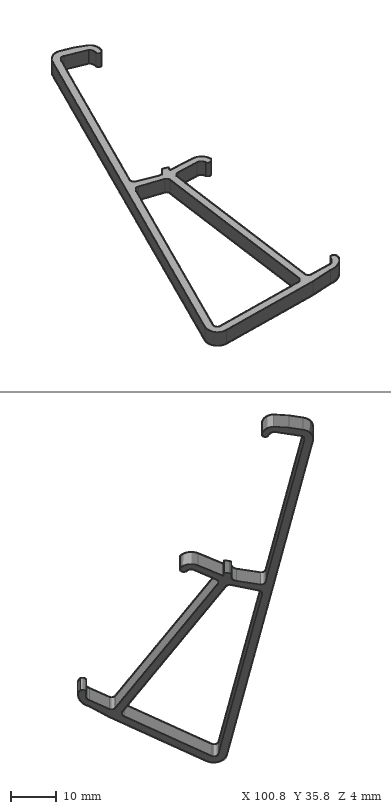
import cadquery as cq
import math

length = 100.8
depth = 35.8
thickness = 4.0
wall = 1.9
tilt = 20.0
inner_radius = 1.0
front_radius = 2.8
back_radius = 3.0
shelf_start = (48.6, 12.1)

slope = math.tan(math.radians(tilt))
back_corner_x = length + back_radius * (1 / math.tan(math.radians((90 - tilt) / 2)) - 1)
tilted_wall = wall / math.cos(math.radians(tilt))

post_left = 46.9
post_right_base = 48.8
post_right_top = 48.3
back_bend_y = 27.6
middle_arm_foot_x = 47.7
back_arm_foot_x = 90.0


def shelf_y(x):
    """Height of the shelf's upper face."""
    return shelf_start[1] + slope * (x - shelf_start[0])


def back_x(y):
    """Outer face of the sloping back wall."""
    return back_corner_x - slope * y


middle_arm_foot = (middle_arm_foot_x, shelf_y(middle_arm_foot_x))
back_arm_foot = (back_arm_foot_x, shelf_y(back_arm_foot_x))


def outline():
    """Outer boundary, counterclockwise, with the frame corners left sharp."""
    path = cq.Workplane("XY").moveTo(0, 0).lineTo(back_corner_x, 0)
    path = path.lineTo(back_x(back_bend_y), back_bend_y)

    path = path.lineTo(89.8, 32.5)
    path = path.threePointArc((88.8, 34.6), (86.6, depth))
    path = path.lineTo(85.5, 35.5)
    path = path.threePointArc((85.2, 34.7), (85.8, 34.0))
    path = path.lineTo(86.7, 34.0)
    path = path.threePointArc((87.5, 33.7), (88.0, 32.8))
    path = path.lineTo(*back_arm_foot)

    path = path.lineTo(*middle_arm_foot)
    path = path.lineTo(45.6, 17.7)
    path = path.threePointArc((45.6, 18.9), (46.3, 19.6))
    path = path.threePointArc((46.5, 20.8), (45.4, 21.1))
    path = path.threePointArc((44.3, 20.0), (44.0, 17.4))
    path = path.lineTo(45.9, 11.4)

    path = path.lineTo(44.9, 11.4).lineTo(44.9, 10.3)
    path = path.threePointArc((45.1, 9.8), (45.6, 9.7))
    path = path.threePointArc((46.5, 9.3), (post_left, 8.3))
    path = path.lineTo(post_left, wall)

    path = path.lineTo(wall, wall).lineTo(wall, 8.9)
    path = path.threePointArc((2.4, 9.6), (3.3, 10.0))
    path = path.threePointArc((3.7, 11.0), (2.9, 11.4))
    path = path.threePointArc((1.1, 10.6), (0.4, 9.4))
    return path.lineTo(0, 6.0).close()


def window():
    """Enclosed opening between base, post, shelf and back wall."""
    inner_base_x = back_x(wall) - tilted_wall
    shelf_base = shelf_start[1] - tilted_wall - slope * shelf_start[0]
    top_x = (back_corner_x - tilted_wall - slope * shelf_base) / (1 + slope ** 2)
    corners = [
        (post_right_base, wall),
        (inner_base_x, wall),
        (top_x, shelf_y(top_x) - tilted_wall),
        (post_right_top, shelf_y(post_right_top) - tilted_wall),
    ]
    opening = cq.Workplane("XY").polyline(corners).close().extrude(thickness)
    return opening.edges("|Z").fillet(inner_radius)


def round_corner(body, corner, radius):
    """Fillet the upright edge nearest to a corner."""
    middle = (corner[0], corner[1], thickness / 2)
    return body.edges("|Z").edges(cq.NearestToPointSelector(middle)).fillet(radius)


result = outline().extrude(thickness)
for corner, radius in [
    ((0, 0), front_radius),
    ((back_corner_x, 0), back_radius),
    (back_arm_foot, inner_radius),
    (middle_arm_foot, inner_radius),
    ((post_left, wall), inner_radius),
    ((wall, wall), inner_radius),
]:
    result = round_corner(result, corner, radius)
result = result.cut(window())